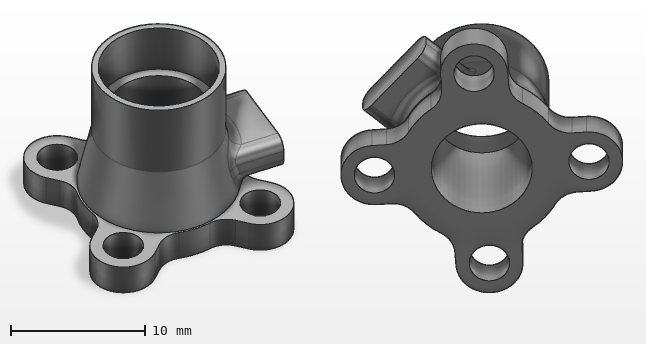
import cadquery as cq
import math

flange_thickness = 2.5
core_radius = 6.25
lug_radius = 2.5
lug_circle_radius = 8.0
lug_blend_radius = 2.0
lug_hole_diameter = 3.0
lug_angles = (45, 135, 225, 315)

cone_base_radius = 6.1
collar_radius = 5.0
cone_height = 5.0
collar_height = 6.0
collar_base_z = flange_thickness + cone_height
total_height = collar_base_z + collar_height

bore_diameter = 7.5
counterbore_diameter = 9.0
counterbore_depth = 4.0

boss_width = 7.2
boss_height = 2.8
boss_center_z = 4.5
boss_end_y = 8.6
boss_corner_radius = 1.0
boss_root_blend = 1.0


def make_lug(angle):
    """Lug pointing along +X, blended into the core on both sides, then turned to its angle."""
    center_distance = core_radius + lug_blend_radius
    center_y = lug_radius + lug_blend_radius
    center_angle = math.asin(center_y / center_distance)
    center_x = center_distance * math.cos(center_angle)
    core_touch_x = core_radius * math.cos(center_angle)
    core_touch_y = core_radius * math.sin(center_angle)

    middle_angle = (center_angle + math.pi / 2) / 2
    middle_x = center_x - lug_blend_radius * math.cos(middle_angle)
    middle_y = center_y - lug_blend_radius * math.sin(middle_angle)

    lug = (
        cq.Workplane("XY")
        .moveTo(0, 0)
        .lineTo(core_touch_x, core_touch_y)
        .threePointArc((middle_x, middle_y), (center_x, lug_radius))
        .lineTo(lug_circle_radius, lug_radius)
        .threePointArc((lug_circle_radius + lug_radius, 0), (lug_circle_radius, -lug_radius))
        .lineTo(center_x, -lug_radius)
        .threePointArc((middle_x, -middle_y), (core_touch_x, -core_touch_y))
        .close()
        .extrude(flange_thickness)
    )
    return lug.rotate((0, 0, 0), (0, 0, 1), angle)


def make_flange():
    flange = cq.Workplane("XY").circle(core_radius).extrude(flange_thickness)
    for angle in lug_angles:
        flange = flange.union(make_lug(angle))
    holes = (
        cq.Workplane("XY")
        .polarArray(lug_circle_radius, lug_angles[0], 360, len(lug_angles))
        .circle(lug_hole_diameter / 2)
        .extrude(flange_thickness)
    )
    return flange.cut(holes)


def make_cone():
    """Cone carried down to z = 0, so the boss blend can run below the flange top."""
    taper = (cone_base_radius - collar_radius) / cone_height
    radius_at_zero = cone_base_radius + taper * flange_thickness
    return (
        cq.Workplane("XZ")
        .polyline([(0, 0), (radius_at_zero, 0), (collar_radius, collar_base_z), (0, collar_base_z)])
        .close()
        .revolve(360, (0, 0, 0), (0, 1, 0))
    )


def make_boss():
    return (
        cq.Workplane("XZ")
        .center(0, boss_center_z)
        .rect(boss_width, boss_height)
        .extrude(-boss_end_y)
        .edges("|Y")
        .fillet(boss_corner_radius)
    )


def make_body():
    """Cone with its blended boss, trimmed at the flange top, and the collar above."""
    body = make_cone().union(make_boss())
    root_box = cq.selectors.BoxSelector(
        (-boss_width, collar_radius / 2, boss_center_z - boss_height),
        (boss_width, core_radius, boss_center_z + boss_height),
    )
    root_edges = body.edges(root_box).edges("not |Y")
    body = body.newObject(root_edges.vals()).fillet(boss_root_blend)
    flange_reach = lug_circle_radius + lug_radius
    below_flange_top = cq.Workplane("XY").circle(flange_reach).extrude(flange_thickness)
    collar = cq.Workplane("XY", origin=(0, 0, collar_base_z)).circle(collar_radius).extrude(collar_height)
    return body.cut(below_flange_top).union(collar)


def make_bore():
    bore = cq.Workplane("XY").circle(bore_diameter / 2).extrude(total_height)
    counterbore = (
        cq.Workplane("XY", origin=(0, 0, total_height))
        .circle(counterbore_diameter / 2)
        .extrude(-counterbore_depth)
    )
    return bore.union(counterbore)


result = make_flange().union(make_body()).cut(make_bore())